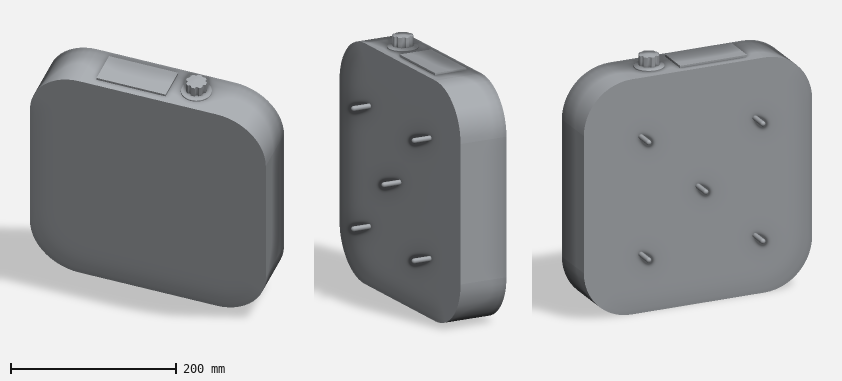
import cadquery as cq
import math

HOUSING_SIDE = 304.7
HOUSING_DEPTH = 63.5
HOUSING_CORNER_RADIUS = HOUSING_DEPTH
HOUSING_TOP = HOUSING_SIDE / 2
HOUSING_MIDDLE_Y = -HOUSING_DEPTH / 2

PIN_RADIUS = 3.2
PIN_LENGTH = 25.5
PIN_OFFSET = HOUSING_SIDE / 4
PIN_CENTERS = [(0, 0)] + [(x, z) for x in (-PIN_OFFSET, PIN_OFFSET) for z in (-PIN_OFFSET, PIN_OFFSET)]

DISPLAY_LENGTH = 89.2
DISPLAY_WIDTH = 43.5
DISPLAY_THICKNESS = 3.0
DISPLAY_X = -25.5

KNOB_X = 51.0
KNOB_HEIGHT = 17.5
KNOB_RADIUS = 13.0
KNOB_DOME_RISE = 1.5
FLANGE_RADIUS = 38.0 / 2
FLANGE_RIM_HEIGHT = 1.5
FLANGE_RIM_BEVEL = 0.3
FLANGE_HEIGHT = 3.0
FLUTE_COUNT = 8
FLUTE_RADIUS = 2.5
FLUTE_CENTER_RADIUS = 13.5


def make_pin(x, z):
    """Round pin pointing along +Y with a hemispherical tip."""
    shank_length = PIN_LENGTH - PIN_RADIUS
    tip_offset = PIN_RADIUS * math.sqrt(0.5)
    return (
        cq.Workplane("XY")
        .lineTo(PIN_RADIUS, 0)
        .lineTo(PIN_RADIUS, shank_length)
        .threePointArc((tip_offset, shank_length + tip_offset), (0, PIN_LENGTH))
        .close()
        .revolve(360, (0, 0, 0), (0, 1, 0))
        .translate((x, 0, z))
    )


def make_housing():
    """Slab with rounded corners and its mounting pins."""
    housing = (
        cq.Workplane("XY")
        .box(HOUSING_SIDE, HOUSING_DEPTH, HOUSING_SIDE)
        .edges("|Y")
        .fillet(HOUSING_CORNER_RADIUS)
        .translate((0, HOUSING_MIDDLE_Y, 0))
    )
    for x, z in PIN_CENTERS:
        housing = housing.union(make_pin(x, z))
    return housing


def make_display():
    """Thin rectangular plate resting on the top of the housing."""
    return (
        cq.Workplane("XY")
        .box(DISPLAY_LENGTH, DISPLAY_WIDTH, DISPLAY_THICKNESS, centered=(True, True, False))
        .translate((DISPLAY_X, HOUSING_MIDDLE_Y, HOUSING_TOP))
    )


def make_flange():
    """Round base of the knob, rising as a shallow cone from its bevelled rim."""
    return (
        cq.Workplane("XZ")
        .lineTo(FLANGE_RADIUS, 0)
        .lineTo(FLANGE_RADIUS, FLANGE_RIM_HEIGHT - FLANGE_RIM_BEVEL)
        .lineTo(FLANGE_RADIUS - FLANGE_RIM_BEVEL, FLANGE_RIM_HEIGHT)
        .lineTo(KNOB_RADIUS, FLANGE_HEIGHT)
        .lineTo(0, FLANGE_HEIGHT)
        .close()
        .revolve(360, (0, 0, 0), (0, 1, 0))
    )


def make_grip():
    """Fluted grip of the knob with a shallow domed top."""
    half_radius_height = KNOB_HEIGHT - KNOB_DOME_RISE / 4
    grip = (
        cq.Workplane("XZ")
        .moveTo(0, FLANGE_HEIGHT)
        .lineTo(KNOB_RADIUS, FLANGE_HEIGHT)
        .lineTo(KNOB_RADIUS, KNOB_HEIGHT - KNOB_DOME_RISE)
        .threePointArc((KNOB_RADIUS / 2, half_radius_height), (0, KNOB_HEIGHT))
        .close()
        .revolve(360, (0, 0, 0), (0, 1, 0))
    )
    flutes = (
        cq.Workplane("XY", origin=(0, 0, FLANGE_HEIGHT))
        .polarArray(FLUTE_CENTER_RADIUS, 180 / FLUTE_COUNT, 360, FLUTE_COUNT)
        .circle(FLUTE_RADIUS)
        .extrude(KNOB_HEIGHT)
    )
    return grip.cut(flutes)


def make_knob():
    """Turning knob: the flange and the fluted grip as one piece."""
    knob = make_flange().union(make_grip())
    return knob.translate((KNOB_X, HOUSING_MIDDLE_Y, HOUSING_TOP))


housing = make_housing()
display = make_display()
knob = make_knob()

result = cq.Compound.makeCompound([housing.val(), display.val(), knob.val()])